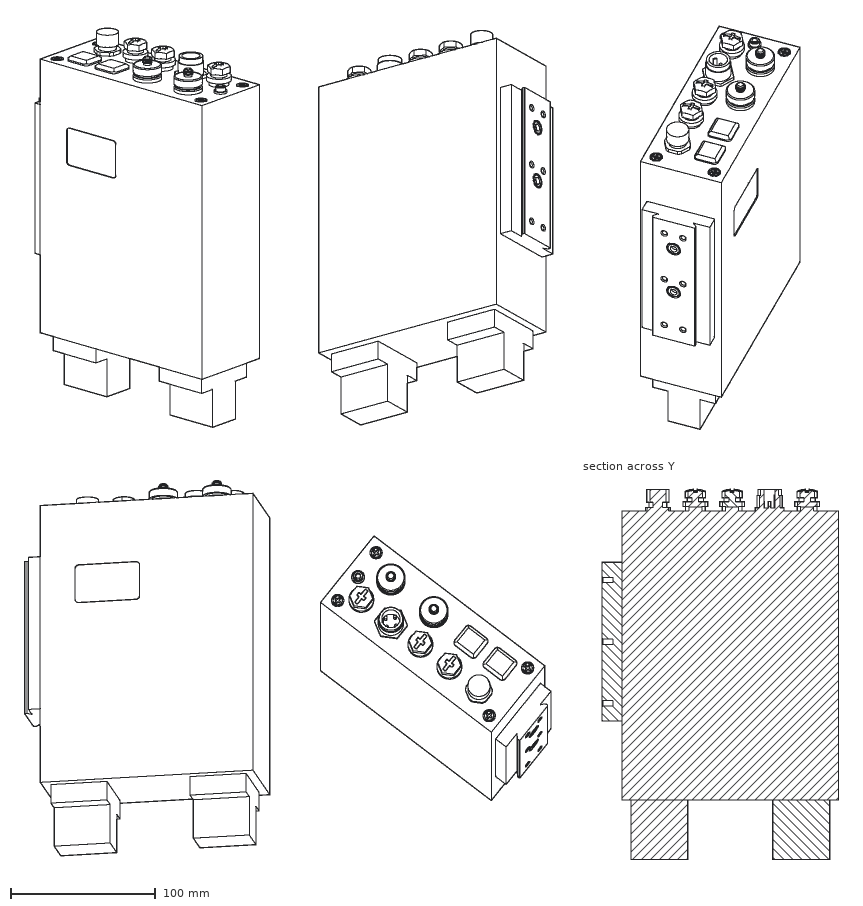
import cadquery as cq
import math

CASE_LENGTH = 150.0
CASE_DEPTH = 60.0
CASE_HEIGHT = 200.0

LABEL_WIDTH = 45.5
LABEL_HEIGHT = 27.2
LABEL_CORNER = 2.5
LABEL_DEPTH = 0.8
LABEL_CENTRE_X = 47.3
LABEL_DROP = 58.0

RAIL_DEPTH = 14.0
RAIL_WIDTH = 50.4
RAIL_HEIGHT = 110.0
RAIL_DROP = 35.5
DOVETAIL_WIDTH = 31.9
DOVETAIL_LIP = 1.8
DOVETAIL_CHAMFER = 0.5
DOVETAIL_UNDERCUT = 2.8
RAIL_TOP = CASE_HEIGHT - RAIL_DROP

PIN_HOLE_DIAMETER = 3.3
PIN_HOLE_MOUTH = 5.0
PIN_HOLE_DEPTH = 7.7
PIN_HOLE_SPACING = 14.0
PIN_HOLE_PITCH = 42.6
PIN_HOLE_ROWS = 3
PIN_HOLE_DROP = 12.3

BOLT_DROPS = (24.7, 64.7)
BOLT_GROOVE_OUTER = 10.3
BOLT_GROOVE_INNER = 8.2
BOLT_GROOVE_DEPTH = 1.3
BOLT_SOCKET_DIAMETER = 5.0
BOLT_SOCKET_DEPTH = 2.5

FOOT_LENGTH = 39.5
FOOT_HEIGHT = 41.0
FOOT_FLANGE_DEPTH = 46.8
FOOT_FLANGE_HEIGHT = 13.4
FOOT_BLOCK_DEPTH = 24.0
FOOT_MARGIN = 6.2
FOOT_LEFT_EDGES = (FOOT_MARGIN, CASE_LENGTH - FOOT_MARGIN - FOOT_LENGTH)

BACK_ROW_Y = 12.0
FRONT_ROW_Y = -11.8

SCREW_INSET = 8.5
SCREW_RING_OUTER = 8.5
SCREW_RING_INNER = 6.5
SCREW_RING_DEPTH = 1.5
SCREW_CROSS_LENGTH = 4.0
SCREW_CROSS_WIDTH = 1.3

BUTTON_LENGTH = 19.0
BUTTON_DEPTH = 17.5
BUTTON_HEIGHT = 3.3
BUTTON_BEVEL = 2.3
BUTTON_CORNER = 2.8
BUTTON_XS = (25.2, 50.5)

CAP_X = 25.0
CAP_NUT_FLATS = 17.2
CAP_NUT_ROUNDING = 18.5
CAP_NUT_HEIGHT = 2.5
CAP_NECK_DIAMETER = 12.3
CAP_DIAMETER = 15.5
CAP_BOTTOM = 6.0
CAP_TOP = 15.0

CONNECTOR_X = 102.2
CONNECTOR_NUT_FLATS = 20.0
CONNECTOR_NUT_HEIGHT = 2.3
CONNECTOR_DIAMETER = 17.7
CONNECTOR_SHOULDER = 10.8
CONNECTOR_RIM_DIAMETER = 16.5
CONNECTOR_TOP = 15.0
CONNECTOR_BORE = 12.5
CONNECTOR_BORE_DEPTH = 12.8
CONTACT_COUNT = 4
CONTACT_RADIUS = 4.5
CONTACT_DIAMETER = 2.0
CONTACT_HEIGHT = 4.5
KEY_WIDTH = 2.3
KEY_DEPTH = 1.0
KEY_DROP = 3.9
KEY_ANGLE = 45

COAX_XS = (83.2, 121.0)
COAX_DIAMETER = 19.8
COAX_BEVEL = 0.8
COAX_BASE_HEIGHT = 3.0
COAX_GROOVE_DIAMETER = 16.0
COAX_GROOVE_TOP = 5.0
COAX_BODY_TOP = 10.5
STUD_TOP = 15.7
STUD_DIAMETER = 5.7
STUD_BEVEL = 0.8
STUD_RING_DIAMETER = 6.7
STUD_RING_HEIGHT = 0.5
STUD_RING_PITCH = 1.5
STUD_RING_COUNT = 2
STUD_RING_BOTTOM = 12.0

EARTH_X = 140.5
EARTH_BASE_DIAMETER = 9.0
EARTH_BASE_HEIGHT = 1.3
EARTH_DIAMETER = 7.0
EARTH_HEIGHT = 4.5
EARTH_BEVEL = 0.5
EARTH_BORE = 3.5
EARTH_BORE_DEPTH = 2.5

PLUG_XS = (50.9, 76.3, 128.2)
PORT_DIAMETER = 14.0
PORT_HEIGHT = 3.0
PLUG_COLLAR_DIAMETER = 17.2
PLUG_COLLAR_TOP = 6.5
PLUG_NECK_DIAMETER = 11.3
PLUG_HEAD_BOTTOM = 9.0
PLUG_HEAD_TOP = 15.2
PLUG_HEAD_FLATS = 14.1
PLUG_DOME_EDGE = 2.0
PLUG_SLOT_LENGTH = 11.8
PLUG_SLOT_WIDTH = 2.3
PLUG_SLOT_DEPTH = 2.0
PLUG_CROSS_LENGTH = 6.2


def on_top(x, y, height=0.0):
    """Workplane parallel to the case top, at the given height above it."""
    return cq.Workplane("XY", origin=(x, y, CASE_HEIGHT + height))


def disc(x, y, diameter, bottom, top):
    """Upright cylinder between two heights above the case top."""
    return on_top(x, y, bottom).circle(diameter / 2).extrude(top - bottom)


def across_corners(flats):
    return flats / math.cos(math.pi / 6)


def hexagon(x, y, flats, bottom, top):
    """Upright hexagon with its corners toward +Y and -Y."""
    prism = on_top(x, y, bottom).polygon(6, across_corners(flats)).extrude(top - bottom)
    return prism.rotate((x, y, 0), (x, y, 1), 30)


def cross_slot(x, y, lengthwise, crosswise, width, top, depth):
    """Cross-shaped cutter: lengthwise runs along Y, crosswise along X."""
    start = on_top(x, y, top - depth)
    return start.rect(width, lengthwise).extrude(depth).union(start.rect(crosswise, width).extrude(depth))


def button(x):
    block = on_top(x, FRONT_ROW_Y).rect(BUTTON_LENGTH, BUTTON_DEPTH).extrude(BUTTON_HEIGHT)
    bevelled = block.faces(">Z").chamfer(BUTTON_BEVEL)
    return bevelled.intersect(block.edges("|Z").fillet(BUTTON_CORNER))


def round_cap():
    nut = hexagon(CAP_X, BACK_ROW_Y, CAP_NUT_FLATS, 0, CAP_NUT_HEIGHT)
    nut = nut.intersect(disc(CAP_X, BACK_ROW_Y, CAP_NUT_ROUNDING, 0, CAP_NUT_HEIGHT))
    neck = disc(CAP_X, BACK_ROW_Y, CAP_NECK_DIAMETER, 0, CAP_BOTTOM)
    return nut.union(neck).union(disc(CAP_X, BACK_ROW_Y, CAP_DIAMETER, CAP_BOTTOM, CAP_TOP))


def connector():
    x = CONNECTOR_X
    y = BACK_ROW_Y
    floor = CONNECTOR_TOP - CONNECTOR_BORE_DEPTH
    shell = hexagon(x, y, CONNECTOR_NUT_FLATS, 0, CONNECTOR_NUT_HEIGHT)
    shell = shell.union(disc(x, y, CONNECTOR_DIAMETER, 0, CONNECTOR_SHOULDER))
    shell = shell.union(disc(x, y, CONNECTOR_RIM_DIAMETER, 0, CONNECTOR_TOP))
    shell = shell.cut(disc(x, y, CONNECTOR_BORE, floor, CONNECTOR_TOP))
    contacts = (
        on_top(x, y, floor)
        .polarArray(CONTACT_RADIUS, 0, 360, CONTACT_COUNT)
        .circle(CONTACT_DIAMETER / 2)
        .extrude(CONTACT_HEIGHT)
    )
    inner = CONNECTOR_BORE / 2 - KEY_DEPTH
    outer = CONNECTOR_BORE / 2 + KEY_DEPTH
    key = on_top(x, y, floor).center((inner + outer) / 2, 0).rect(outer - inner, KEY_WIDTH)
    key = key.extrude(CONNECTOR_BORE_DEPTH - KEY_DROP).rotate((x, y, 0), (x, y, 1), KEY_ANGLE)
    return shell.union(contacts).union(key)


def coax_socket(x):
    y = FRONT_ROW_Y
    base = disc(x, y, COAX_DIAMETER, 0, COAX_BASE_HEIGHT).faces(">Z").chamfer(COAX_BEVEL)
    groove = disc(x, y, COAX_GROOVE_DIAMETER, 0, COAX_BODY_TOP)
    body = disc(x, y, COAX_DIAMETER, COAX_GROOVE_TOP, COAX_BODY_TOP).faces(">Z").chamfer(COAX_BEVEL)
    stud = disc(x, y, STUD_DIAMETER, COAX_BODY_TOP, STUD_TOP).faces(">Z").chamfer(STUD_BEVEL)
    socket = base.union(groove).union(body).union(stud)
    for ring in range(STUD_RING_COUNT):
        bottom = STUD_RING_BOTTOM + ring * STUD_RING_PITCH
        socket = socket.union(disc(x, y, STUD_RING_DIAMETER, bottom, bottom + STUD_RING_HEIGHT))
    return socket


def earth_terminal():
    terminal = disc(EARTH_X, 0, EARTH_BASE_DIAMETER, 0, EARTH_BASE_HEIGHT)
    post = disc(EARTH_X, 0, EARTH_DIAMETER, 0, EARTH_HEIGHT).faces(">Z").chamfer(EARTH_BEVEL)
    return terminal.union(post).cut(disc(EARTH_X, 0, EARTH_BORE, EARTH_HEIGHT - EARTH_BORE_DEPTH, EARTH_HEIGHT))


def case_screw_recess(x, y):
    ring = disc(x, y, SCREW_RING_OUTER, -SCREW_RING_DEPTH, 0).cut(
        disc(x, y, SCREW_RING_INNER, -SCREW_RING_DEPTH, 0)
    )
    return ring.union(
        cross_slot(x, y, SCREW_CROSS_LENGTH, SCREW_CROSS_LENGTH, SCREW_CROSS_WIDTH, 0, SCREW_RING_DEPTH)
    )


def label_recess():
    block = cq.Workplane("XY").box(LABEL_WIDTH, LABEL_DEPTH, LABEL_HEIGHT).edges("|Y").fillet(LABEL_CORNER)
    return block.translate(
        (LABEL_CENTRE_X, (LABEL_DEPTH - CASE_DEPTH) / 2, CASE_HEIGHT - LABEL_DROP)
    )


def make_housing():
    """Case with every fixed fitting on its top face."""
    case = cq.Workplane("XY").box(CASE_LENGTH, CASE_DEPTH, CASE_HEIGHT, centered=(False, True, False))
    case = case.cut(label_recess())
    for x in (SCREW_INSET, CASE_LENGTH - SCREW_INSET):
        for y in (SCREW_INSET - CASE_DEPTH / 2, CASE_DEPTH / 2 - SCREW_INSET):
            case = case.cut(case_screw_recess(x, y))
    case = case.union(round_cap()).union(connector()).union(earth_terminal())
    for x in BUTTON_XS:
        case = case.union(button(x))
    for x in COAX_XS:
        case = case.union(coax_socket(x))
    for x in PLUG_XS:
        case = case.union(disc(x, BACK_ROW_Y, PORT_DIAMETER, 0, PORT_HEIGHT))
    return case


def make_rail():
    face_x = -RAIL_DEPTH
    plate_x = face_x + DOVETAIL_LIP + DOVETAIL_UNDERCUT
    half_lip = DOVETAIL_WIDTH / 2
    half_neck = half_lip - DOVETAIL_UNDERCUT
    side = [
        (0, RAIL_WIDTH / 2),
        (plate_x, RAIL_WIDTH / 2),
        (plate_x, half_neck),
        (face_x + DOVETAIL_LIP, half_lip),
        (face_x + DOVETAIL_CHAMFER, half_lip),
        (face_x, half_lip - DOVETAIL_CHAMFER),
    ]
    outline = side + [(x, -y) for x, y in reversed(side)]
    bottom = RAIL_TOP - RAIL_HEIGHT
    rail = cq.Workplane("XY", origin=(0, 0, bottom)).polyline(outline).close().extrude(RAIL_HEIGHT)

    def bore(y, z, diameter, depth):
        return cq.Workplane("YZ", origin=(face_x, y, z)).circle(diameter / 2).extrude(depth)

    def countersink(y, z):
        return cq.Workplane(
            cq.Solid.makeCone(
                PIN_HOLE_MOUTH / 2,
                PIN_HOLE_DIAMETER / 2,
                (PIN_HOLE_MOUTH - PIN_HOLE_DIAMETER) / 2,
                pnt=cq.Vector(face_x, y, z),
                dir=cq.Vector(1, 0, 0),
            )
        )

    for row in range(PIN_HOLE_ROWS):
        z = RAIL_TOP - PIN_HOLE_DROP - row * PIN_HOLE_PITCH
        for y in (-PIN_HOLE_SPACING / 2, PIN_HOLE_SPACING / 2):
            rail = rail.cut(bore(y, z, PIN_HOLE_DIAMETER, PIN_HOLE_DEPTH))
            rail = rail.cut(countersink(y, z))
    for drop in BOLT_DROPS:
        z = RAIL_TOP - drop
        groove = bore(0, z, BOLT_GROOVE_OUTER, BOLT_GROOVE_DEPTH)
        groove = groove.cut(bore(0, z, BOLT_GROOVE_INNER, BOLT_GROOVE_DEPTH))
        rail = rail.cut(groove)
        rail = rail.cut(bore(0, z, BOLT_SOCKET_DIAMETER, BOLT_SOCKET_DEPTH))
    return rail


def make_foot(left_x):
    start = cq.Workplane("XY", origin=(left_x + FOOT_LENGTH / 2, 0, 0))
    flange = start.rect(FOOT_LENGTH, FOOT_FLANGE_DEPTH).extrude(-FOOT_FLANGE_HEIGHT)
    return flange.union(start.rect(FOOT_LENGTH, FOOT_BLOCK_DEPTH).extrude(-FOOT_HEIGHT))


def make_plug(x):
    """Screw plug standing on its port."""
    y = BACK_ROW_Y
    corner = across_corners(PLUG_HEAD_FLATS) / 2
    dome_radius = (corner**2 + PLUG_DOME_EDGE**2) / (2 * PLUG_DOME_EDGE)
    dome = on_top(x, y, PLUG_HEAD_TOP - dome_radius).sphere(dome_radius)
    head = hexagon(x, y, PLUG_HEAD_FLATS, PLUG_HEAD_BOTTOM, PLUG_HEAD_TOP).intersect(dome)
    collar = disc(x, y, PLUG_COLLAR_DIAMETER, PORT_HEIGHT, PLUG_COLLAR_TOP)
    neck = disc(x, y, PLUG_NECK_DIAMETER, PORT_HEIGHT, PLUG_HEAD_BOTTOM)
    plug = collar.union(neck).union(head)
    return plug.cut(
        cross_slot(x, y, PLUG_SLOT_LENGTH, PLUG_CROSS_LENGTH, PLUG_SLOT_WIDTH, PLUG_HEAD_TOP, PLUG_SLOT_DEPTH)
    )


housing = make_housing()
rail = make_rail()
feet = [make_foot(left_x) for left_x in FOOT_LEFT_EDGES]
plugs = [make_plug(x) for x in PLUG_XS]

result = cq.Compound.makeCompound(
    [housing.val(), rail.val(), *[foot.val() for foot in feet], *[plug.val() for plug in plugs]]
)